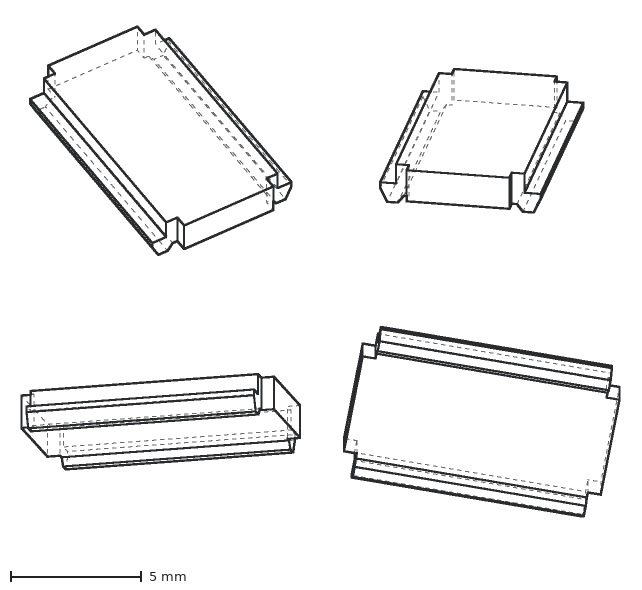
import cadquery as cq

length = 10.0
width = 6.25
height = 1.6

plate_width = 5.0
plate_thickness = 1.3
corner_notch = 0.5
plate_bottom = height - plate_thickness

rail_length = length - 2 * corner_notch
rail_top = 0.8
rail_edge_bottom = 0.57
rail_outer_inset = 0.27
rail_foot_width = 0.42
rail_inner_run = 0.23


def make_plate():
    """Flat plate whose end sections are narrowed by the corner notches."""
    end_width = plate_width - 2 * corner_notch
    middle = cq.Workplane("XY").box(rail_length, plate_width, plate_thickness, centered=(True, True, False))
    ends = cq.Workplane("XY").box(length, end_width, plate_thickness, centered=(True, True, False))
    return middle.union(ends).translate((0, 0, plate_bottom))


def make_rail():
    """Rail on the +Y side, overlapping the plate above its underside."""
    outer = width / 2
    foot_outer = outer - rail_outer_inset
    foot_inner = foot_outer - rail_foot_width
    root = foot_inner - rail_inner_run
    profile = [
        (outer, rail_top),
        (outer, rail_edge_bottom),
        (foot_outer, 0),
        (foot_inner, 0),
        (root, plate_bottom),
        (root, rail_top),
    ]
    return cq.Workplane("YZ").polyline(profile).close().extrude(rail_length / 2, both=True)


rail = make_rail()
result = make_plate().union(rail).union(rail.mirror("XZ"))